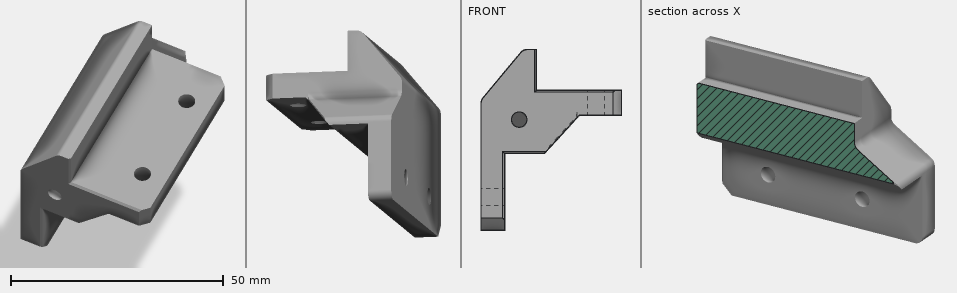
import cadquery as cq

WIDTH = 33.0
LENGTH = 55.5
HEIGHT = 42.5

WALL_THICKNESS = 5.6
FLANGE_THICKNESS = 5.95
FLANGE_TOP = 32.95
FLANGE_LENGTH = 43.5
FLANGE_BOTTOM = FLANGE_TOP - FLANGE_THICKNESS
CORE_BOTTOM = 18.05
CORE_CORNER_X = 14.9
CORE_SHOULDER_X = 23.1

RIDGE_BACK_X = 13.05
RIDGE_CORNER_X = 9.95
RIDGE_FOOT_Z = 30.6

TAIL_ROOT_X = 22.6
TAIL_END_X = 15.8
TAIL_HIGH_Z = 26.85
TAIL_LOW_Z = 19.55

ROUNDING = 2.0
FLANGE_CORNER = 2.0
WALL_CORNER = 2.95
FRONT_BEVEL = 0.5

SCREW_HOLE_DIAMETER = 4.0
FLANGE_HOLE_INSET_X = 6.0
FLANGE_HOLE_INSET_Y = 10.0
WALL_HOLE_Z = 7.8
WALL_HOLES_Y = (13.0, 38.95)
FRONT_HOLE_DIAMETER = 3.6
FRONT_HOLE_X = 9.0
FRONT_HOLE_Z = 26.05
FRONT_HOLE_DEPTH = 10.0

CUT_MARGIN = 0.55


def section_prism():
    """Cross-section of wall, core, flange and ridge, swept along Y."""
    outline = [
        (0, 0),
        (WALL_THICKNESS, 0),
        (WALL_THICKNESS, CORE_BOTTOM),
        (CORE_CORNER_X, CORE_BOTTOM),
        (CORE_SHOULDER_X, FLANGE_BOTTOM),
        (WIDTH, FLANGE_BOTTOM),
        (WIDTH, FLANGE_TOP),
        (RIDGE_BACK_X, FLANGE_TOP),
        (RIDGE_BACK_X, HEIGHT),
        (RIDGE_CORNER_X, HEIGHT),
        (0, RIDGE_FOOT_Z),
    ]
    prism = cq.Workplane("XZ").polyline(outline).close().extrude(-LENGTH)
    for x, z in ((RIDGE_CORNER_X, HEIGHT), (0, RIDGE_FOOT_Z)):
        ridge_edge = cq.selectors.NearestToPointSelector((x, LENGTH / 2, z))
        prism = prism.edges(ridge_edge).fillet(ROUNDING)
    return prism


def bevel_front_edges(body):
    """Bevel the front edges beside the ridge, flange, wall and core underside."""
    edge_middles = (
        (RIDGE_BACK_X, (FLANGE_TOP + HEIGHT) / 2),
        ((RIDGE_BACK_X + WIDTH) / 2, FLANGE_TOP),
        (WALL_THICKNESS, CORE_BOTTOM / 2),
        ((WALL_THICKNESS + CORE_CORNER_X) / 2, CORE_BOTTOM),
    )
    selectors = [cq.selectors.NearestToPointSelector((x, 0, z)) for x, z in edge_middles]
    edges = body.edges(selectors[0])
    for selector in selectors[1:]:
        edges = edges.add(body.edges(selector))
    return edges.chamfer(FRONT_BEVEL)


def side_prism():
    """Side outline with the sloped tail and the wall's lower corners, swept along X."""
    outline = [
        (0, WALL_CORNER),
        (WALL_CORNER, 0),
        (LENGTH, 0),
        (LENGTH, TAIL_LOW_Z),
        (FLANGE_LENGTH, TAIL_HIGH_Z),
        (FLANGE_LENGTH, HEIGHT),
        (0, HEIGHT),
    ]
    prism = cq.Workplane("YZ").polyline(outline).close().extrude(WIDTH)
    for y, z in ((LENGTH, 0), (LENGTH, TAIL_LOW_Z), (FLANGE_LENGTH, TAIL_HIGH_Z)):
        tail_edge = cq.selectors.NearestToPointSelector((WIDTH / 2, y, z))
        prism = prism.edges(tail_edge).fillet(ROUNDING)
    return prism


def plan_prism():
    """Plan outline with the cut flange corners and the tapered tail, swept along Z."""
    outline = [
        (0, 0),
        (WIDTH - FLANGE_CORNER, 0),
        (WIDTH, FLANGE_CORNER),
        (WIDTH, FLANGE_LENGTH - FLANGE_CORNER),
        (WIDTH - FLANGE_CORNER, FLANGE_LENGTH),
        (TAIL_ROOT_X, FLANGE_LENGTH),
        (TAIL_END_X, LENGTH),
        (0, LENGTH),
    ]
    return cq.Workplane("XY").polyline(outline).close().extrude(HEIGHT)


def flange_holes():
    """Cutters for the through holes at both ends of the flange."""
    x = WIDTH - FLANGE_HOLE_INSET_X
    places = [(x, FLANGE_HOLE_INSET_Y), (x, FLANGE_LENGTH - FLANGE_HOLE_INSET_Y)]
    start = cq.Workplane("XY", origin=(0, 0, FLANGE_BOTTOM - CUT_MARGIN))
    return start.pushPoints(places).circle(SCREW_HOLE_DIAMETER / 2).extrude(FLANGE_THICKNESS + 2 * CUT_MARGIN)


def wall_holes():
    """Cutters for the through holes in the lower part of the wall."""
    places = [(y, WALL_HOLE_Z) for y in WALL_HOLES_Y]
    start = cq.Workplane("YZ", origin=(-CUT_MARGIN, 0, 0))
    return start.pushPoints(places).circle(SCREW_HOLE_DIAMETER / 2).extrude(WALL_THICKNESS + 2 * CUT_MARGIN)


def front_hole():
    """Cutter for the blind hole in the front face of the core."""
    start = cq.Workplane("XZ").center(FRONT_HOLE_X, FRONT_HOLE_Z)
    return start.circle(FRONT_HOLE_DIAMETER / 2).extrude(-FRONT_HOLE_DEPTH)


body = bevel_front_edges(section_prism())
body = body.intersect(side_prism()).intersect(plan_prism())
result = body.cut(flange_holes()).cut(wall_holes()).cut(front_hole())